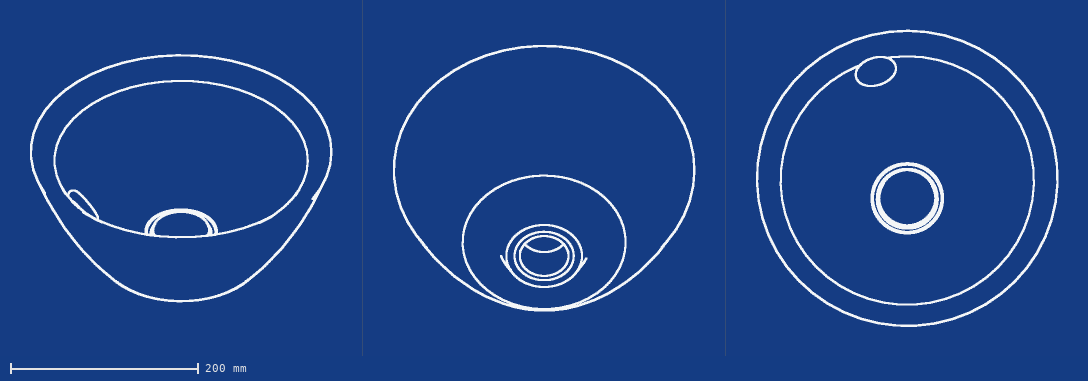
import cadquery as cq
import math

height = 166.2
outer_radius = 160.8
rim_round = 6.0
rim_center = (outer_radius - rim_round, height - rim_round)
rim_outer_angle = -32
rim_inner_angle = 140

foot_bottom_radius = 40.5
foot_neck_radius = 48.2
foot_neck_z = 20.3
foot_flare_middle = (50.0, 23.8)
foot_flare_radius = 54.5
underside_z = 25.5
underside_radius = 87.0
base_edge = (89.7, 27.3)
outer_wall_middle = (133.0, 94.0)

floor_z = 50.0
floor_radius = 71.5
floor_corner = (87.8, 58.8)
floor_corner_middle = (80.7, 52.5)
inner_wall_middle = (115.5, 103.2)
lip_edge = (135.5, 148.2)

flange_radius = 38.3
flange_lip_width = 1.5
flange_thickness = 8.0
funnel_radius = flange_radius - flange_lip_width
funnel_low_radius = 65.3 / 2
funnel_depth = 2.5
seat_depth = 5.8
seat_z = floor_z - seat_depth
tube_radius = 63.3 / 2
bore_radius = 52.0 / 2

plug_radius = 60.0 / 2
plug_edge_rise = 3.2
plug_dome_rise = 4.8
plug_dome_sphere_radius = (plug_radius**2 + plug_dome_rise**2) / (2 * plug_dome_rise)

cap_radius = 44.0 / 2
cap_face_radius = 34.0 / 2
cap_rim_round = cap_radius - cap_face_radius
cap_thickness = 2 * cap_rim_round
stem_radius = 25.0 / 2
stem_length = 9.5
cap_tilt = 24
cap_face_center = (0, -120.5, 141.5)


def rim_point(angle):
    """Point (radius, z) on the round of the rim."""
    turn = math.radians(angle)
    return (rim_center[0] + rim_round * math.cos(turn), rim_center[1] + rim_round * math.sin(turn))


def revolve_z(profile):
    """Turn a closed (radius, z) profile about the Z axis."""
    return profile.close().revolve(360, (0, 0, 0), (0, 1, 0))


def make_basin_blank():
    rim_middle_angle = (rim_outer_angle + rim_inner_angle) / 2
    profile = (
        cq.Workplane("XZ")
        .lineTo(foot_bottom_radius, 0)
        .lineTo(foot_neck_radius, foot_neck_z)
        .threePointArc(foot_flare_middle, (foot_flare_radius, underside_z))
        .lineTo(underside_radius, underside_z)
        .lineTo(*base_edge)
        .threePointArc(outer_wall_middle, rim_point(rim_outer_angle))
        .threePointArc(rim_point(rim_middle_angle), rim_point(rim_inner_angle))
        .lineTo(*lip_edge)
        .threePointArc(inner_wall_middle, floor_corner)
        .threePointArc(floor_corner_middle, (floor_radius, floor_z))
        .lineTo(0, floor_z)
    )
    return revolve_z(profile)


def make_flange_blank():
    """Flange and tube without their openings; also the recess cut in the basin."""
    flange_bottom = floor_z - flange_thickness
    profile = (
        cq.Workplane("XZ")
        .lineTo(tube_radius, 0)
        .lineTo(tube_radius, flange_bottom)
        .lineTo(flange_radius, flange_bottom)
        .lineTo(flange_radius, floor_z)
        .lineTo(0, floor_z)
    )
    return revolve_z(profile)


def make_flange(blank):
    opening = (
        cq.Workplane("XZ")
        .lineTo(bore_radius, 0)
        .lineTo(bore_radius, seat_z)
        .lineTo(tube_radius, seat_z)
        .lineTo(tube_radius, floor_z - funnel_depth)
        .lineTo(funnel_low_radius, floor_z - funnel_depth)
        .lineTo(funnel_radius, floor_z)
        .lineTo(0, floor_z)
    )
    return blank.cut(revolve_z(opening))


def make_plug():
    edge_z = floor_z + plug_edge_rise
    top_z = edge_z + plug_dome_rise
    middle_radius = plug_radius / 2
    middle_drop = plug_dome_sphere_radius - math.sqrt(plug_dome_sphere_radius**2 - middle_radius**2)
    dome_middle = (middle_radius, top_z - middle_drop)
    profile = (
        cq.Workplane("XZ")
        .moveTo(0, seat_z)
        .lineTo(plug_radius, seat_z)
        .lineTo(plug_radius, edge_z)
        .threePointArc(dome_middle, (0, top_z))
    )
    return revolve_z(profile)


def make_overflow_cap():
    tilt = math.radians(cap_tilt)
    face = cq.Plane(origin=cap_face_center, xDir=(1, 0, 0), normal=(0, math.cos(tilt), math.sin(tilt)))
    profile = (
        cq.Workplane("XZ")
        .lineTo(cap_face_radius, 0)
        .threePointArc((cap_radius, -cap_rim_round), (cap_face_radius, -cap_thickness))
        .lineTo(stem_radius, -cap_thickness)
        .lineTo(stem_radius, -cap_thickness - stem_length)
        .lineTo(0, -cap_thickness - stem_length)
    )
    upright_cap = revolve_z(profile).val()
    return cq.Workplane(upright_cap.moved(cq.Location(face)))



basin_blank = make_basin_blank()
flange_blank = make_flange_blank()
overflow_cap = make_overflow_cap()
basin = basin_blank.cut(flange_blank).cut(overflow_cap)
flange = make_flange(flange_blank)
plug = make_plug()

result = cq.Compound.makeCompound([basin.val(), flange.val(), plug.val(), overflow_cap.val()])